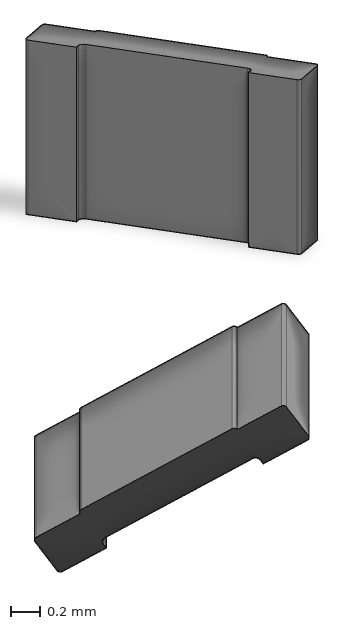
import cadquery as cq

LENGTH = 2.03
THICKNESS = 0.355
HEIGHT = 1.27

TERMINAL_LENGTH = 0.381
RECESS_DEPTH = 0.075
BODY_RISE = 0.025
EDGE_RADIUS = 0.025
RECESS_RADIUS = 0.04

BODY_LENGTH = LENGTH - 2 * TERMINAL_LENGTH
FRONT_Y = -THICKNESS / 2
BACK_Y = THICKNESS / 2
TERMINAL_BACK_Y = BACK_Y - BODY_RISE
RECESS_Y = FRONT_Y + RECESS_DEPTH


def block(length, x_center, y_front, y_back):
    """Full-height block, centered on Z = 0."""
    depth = y_back - y_front
    y_center = (y_front + y_back) / 2
    return cq.Workplane("XY").box(length, depth, HEIGHT).translate((x_center, y_center, 0))


def make_terminal(side):
    """End terminal on the side (-1 or +1) of X, with its two outer edges rounded."""
    x_center = side * (LENGTH - TERMINAL_LENGTH) / 2
    outer_face = ">X" if side > 0 else "<X"
    terminal = block(TERMINAL_LENGTH, x_center, FRONT_Y, TERMINAL_BACK_Y)
    return terminal.faces(outer_face).edges("|Z").fillet(EDGE_RADIUS)


def make_body():
    """Middle block with its two +Y edges rounded."""
    body = block(BODY_LENGTH, 0, RECESS_Y, BACK_Y)
    return body.faces(">Y").edges("|Z").fillet(EDGE_RADIUS)


def round_recess_corners(part):
    """Concave fillets where the recessed body meets the terminals."""
    margin = RECESS_RADIUS / 2
    corner_edges = cq.selectors.BoxSelector(
        (-BODY_LENGTH / 2 - margin, RECESS_Y - margin, -HEIGHT),
        (BODY_LENGTH / 2 + margin, RECESS_Y + margin, HEIGHT),
    )
    return part.edges("|Z").edges(corner_edges).fillet(RECESS_RADIUS)


chip = make_body()
for side in (-1, 1):
    chip = chip.union(make_terminal(side))

result = round_recess_corners(chip).solids()